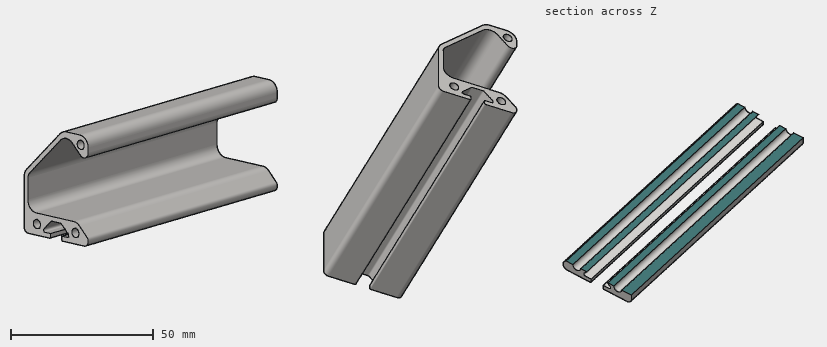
import cadquery as cq
import math

width = 30.0
length = 100.0
height = 40.0

wall = 1.8
bend_height = 22.0
outer_bend_radius = 4.0
inner_bend_radius = 3.0
shoulder_radius = 4.0

lobe_top_radius = 4.0
lobe_tip_radius = 2.1
lobe_bottom = 32.0
hook_radius = 4.0

floor_height = 8.1
floor_fillet_radius = 4.0
nose_height = 2.9
nose_top_radius = 4.0
nose_tip_radius = 1.5
base_corner_radius = 2.0

slot_center = width / 2
slot_opening = 5.2
slot_top = 6.4
slot_top_width = 4.5
slot_top_radius = 0.7
slot_side_radius = 0.7
lip_thickness = 1.8
lip_radius = 0.5

hole_diameter = 3.3
hole_edge_offset = 6.0
base_hole_height = 4.1
lobe_hole_inset = 3.5


def rounded_prism(corners):
    """Extrude a polygon of (x, z, corner radius) along Y, rounding its corners."""
    body = (
        cq.Workplane("XZ")
        .polyline([(x, z) for x, z, radius in corners])
        .close()
        .extrude(-length)
    )
    for x, z, radius in corners:
        if radius > 0:
            edge = cq.selectors.NearestToPointSelector((x, length / 2, z))
            body = body.edges("|Y").edges(edge).fillet(radius)
    return body


inner_rise = bend_height - wall * math.sqrt(2)
lobe_center_sum = (width - lobe_tip_radius) + (lobe_bottom + lobe_tip_radius)
lobe_fall = lobe_center_sum - lobe_tip_radius * math.sqrt(2)
hook_apex_x = (lobe_fall - inner_rise) / 2
hook_apex_z = (lobe_fall + inner_rise) / 2

profile_corners = [
    (0, 0, base_corner_radius),
    (0, bend_height, outer_bend_radius),
    (height - bend_height, height, shoulder_radius),
    (width, height, lobe_top_radius),
    (width, lobe_fall - width, lobe_tip_radius),
    (hook_apex_x, hook_apex_z, hook_radius),
    (wall, wall + inner_rise, inner_bend_radius),
    (wall, floor_height, floor_fillet_radius),
    (width + nose_height - floor_height, floor_height, nose_top_radius),
    (width, nose_height, nose_tip_radius),
    (width, 0, base_corner_radius),
]
body = rounded_prism(profile_corners)

slot_top_left = slot_center - slot_top_width / 2
slot_top_right = slot_center + slot_top_width / 2
flank_run = slot_top - lip_thickness
cavity = rounded_prism([
    (slot_top_left - flank_run, lip_thickness, slot_side_radius),
    (slot_top_left, slot_top, slot_top_radius),
    (slot_top_right, slot_top, slot_top_radius),
    (slot_top_right + flank_run, lip_thickness, slot_side_radius),
])
opening = cq.Workplane("XY").box(
    slot_opening, length, 2 * lip_thickness, centered=(True, False, True)
).translate((slot_center, 0, 0))
body = body.cut(cavity).cut(opening)

for side in (-1, 1):
    lip_edge = (slot_center + side * slot_opening / 2, length / 2, 0)
    body = body.edges("|Y").edges(cq.selectors.NearestToPointSelector(lip_edge)).fillet(lip_radius)

hole_centers = [
    (hole_edge_offset, base_hole_height),
    (width - hole_edge_offset, base_hole_height),
    (width - lobe_hole_inset, height - lobe_hole_inset),
]
channels = cq.Workplane("XZ").pushPoints(hole_centers).circle(hole_diameter / 2).extrude(-length)
result = body.cut(channels)